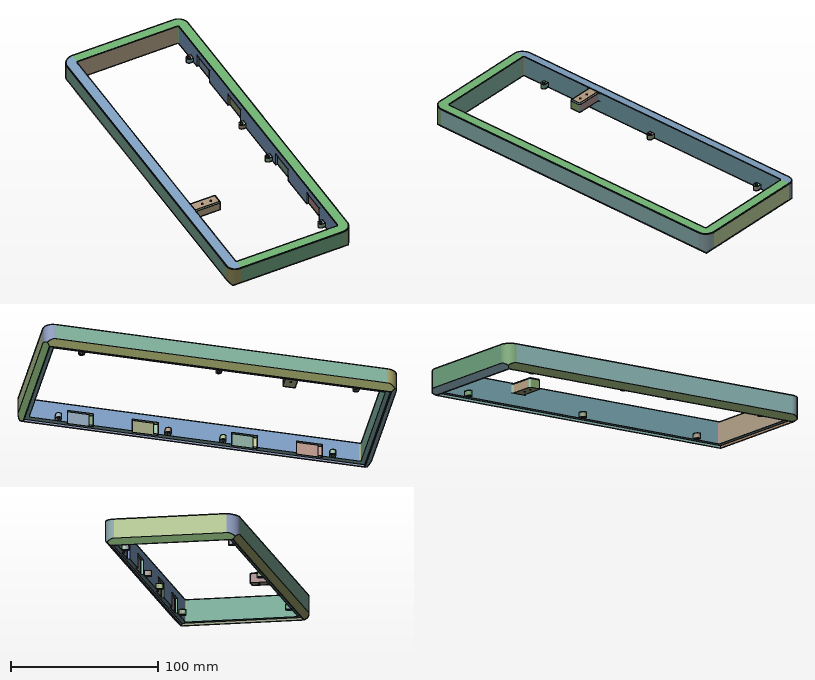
import cadquery as cq
import math

KEY_PITCH = 19.05

HEIGHT = 17.5
WALL = 7.6
OPENING_CLEARANCE = 1.8
OPENING_LENGTH = 12 * KEY_PITCH + OPENING_CLEARANCE
OPENING_WIDTH = 4 * KEY_PITCH + OPENING_CLEARANCE
LENGTH = OPENING_LENGTH + 2 * WALL
WIDTH = OPENING_WIDTH + 2 * WALL
CORNER_RADIUS = WALL
OPENING_CORNER_RADIUS = 1.0
TOP_EDGE_CHAMFER = 0.4
OPENING_RIM_CHAMFER = 0.25
REBATE_DEPTH = 1.8
REBATE_WIDTH = 3.2
BOTTOM_CHAMFER = 4.0
FRONT_DROP = 1.0

POST_DIAMETER = 4.0
POST_HOLE_DIAMETER = 1.8
POST_BOTTOM = 2.0
POST_HEIGHT = 3.5
POST_INSET = 2.4
BACK_POST_COLUMNS = (-5, -1, 1, 5)
FRONT_POST_COLUMNS = (-5, 0, 5)

POCKET_CENTRES = (-79.5, -34.5, 34.5, 79.5)
POCKET_LENGTH = 18.0
POCKET_DEPTH = 1.5
POCKET_TOP = 11.9
GROOVE_DIAMETER = 3.0
GROOVE_AXIS_SETBACK = 0.4
GROOVE_BOTTOM = 3.2

TAB_CENTRE_X = 52.5
TAB_WIDTH = 8.6
TAB_LENGTH = 19.4
TAB_TOP = HEIGHT
TAB_THICKNESS = 7.0
TAB_EDGE_CHAMFER = 0.8
TAB_CORNER_RADIUS = 1.0
TAB_ROOT_RADIUS = 1.5
TAB_HOLE_DIAMETER = 1.0
TAB_HOLE_OFFSETS = (7.2, 13.8)

OPENING_BACK = OPENING_WIDTH / 2
OPENING_FRONT = -OPENING_WIDTH / 2


def block(x_range, y_range, z_range):
    """Axis-aligned box between the given limits."""
    size = [high - low for low, high in (x_range, y_range, z_range)]
    corner = (x_range[0], y_range[0], z_range[0])
    return cq.Workplane("XY").box(*size, centered=False).translate(corner)


def plate(length, width, height):
    """Rectangular plate centred on the Z axis and standing on Z = 0."""
    return cq.Workplane("XY").box(length, width, height, centered=(True, True, False))


def rounded_plate(length, width, height, radius):
    """Plate with rounded vertical edges."""
    return plate(length, width, height).edges("|Z").fillet(radius)


def make_body():
    """Solid outer shape: sloped front top, chamfered outer rims, rounded corners."""
    level_body = (
        rounded_plate(LENGTH, WIDTH, HEIGHT, CORNER_RADIUS)
        .faces(">Z")
        .chamfer(TOP_EDGE_CHAMFER)
    )

    front_top = HEIGHT - FRONT_DROP
    back_top = front_top + FRONT_DROP / WALL * WIDTH
    sloped_profile = (
        cq.Workplane("YZ")
        .moveTo(-WIDTH / 2, 0)
        .lineTo(WIDTH / 2, 0)
        .lineTo(WIDTH / 2, back_top)
        .lineTo(-WIDTH / 2, front_top)
        .close()
        .extrude(LENGTH / 2, both=True)
    )
    sloped_body = (
        sloped_profile.edges("|Z")
        .fillet(CORNER_RADIUS)
        .faces(">Z")
        .chamfer(TOP_EDGE_CHAMFER)
    )

    bottom_chamfered_block = plate(LENGTH, WIDTH, HEIGHT).faces("<Z").chamfer(BOTTOM_CHAMFER)
    return level_body.intersect(sloped_body).intersect(bottom_chamfered_block)


def make_opening():
    """Through opening with a flared top rim and a wider shallow seat underneath."""
    opening = rounded_plate(OPENING_LENGTH, OPENING_WIDTH, HEIGHT, OPENING_CORNER_RADIUS)
    rim = (
        rounded_plate(
            OPENING_LENGTH + 2 * OPENING_RIM_CHAMFER,
            OPENING_WIDTH + 2 * OPENING_RIM_CHAMFER,
            HEIGHT,
            OPENING_CORNER_RADIUS + OPENING_RIM_CHAMFER,
        )
        .faces("<Z")
        .chamfer(OPENING_RIM_CHAMFER)
        .translate((0, 0, HEIGHT - OPENING_RIM_CHAMFER))
    )
    rebate = plate(OPENING_LENGTH + 2 * REBATE_WIDTH, OPENING_WIDTH + 2 * REBATE_WIDTH, REBATE_DEPTH)
    return opening.union(rim).union(rebate)


def post_location(column, side):
    """Post axis on the key grid; side is +1 for the back rail, -1 for the front rail."""
    return column * KEY_PITCH, side * (OPENING_BACK - POST_INSET)


def make_post(column, side):
    """Round post joined to the opening wall by a straight web."""
    x, y = post_location(column, side)
    wall_y = side * OPENING_BACK
    radius = POST_DIAMETER / 2
    top = POST_BOTTOM + POST_HEIGHT
    web = block((x - radius, x + radius), sorted((y, wall_y)), (POST_BOTTOM, top))
    barrel = cq.Workplane("XY", origin=(x, y, POST_BOTTOM)).circle(radius).extrude(POST_HEIGHT)
    return barrel.union(web)


def make_post_hole(column, side):
    """Through hole along a post's axis."""
    x, y = post_location(column, side)
    return (
        cq.Workplane("XY", origin=(x, y, POST_BOTTOM))
        .circle(POST_HOLE_DIAMETER / 2)
        .extrude(POST_HEIGHT)
    )


def make_pocket(centre_x):
    """Shallow pocket open at the bottom, with a round vertical groove at its +X end."""
    floor_y = OPENING_BACK + POCKET_DEPTH
    end_x = centre_x + POCKET_LENGTH / 2
    recess = block((end_x - POCKET_LENGTH, end_x), (OPENING_BACK, floor_y), (0, POCKET_TOP))
    groove_x = end_x - GROOVE_DIAMETER / 2
    groove_y = floor_y - GROOVE_AXIS_SETBACK
    groove = (
        cq.Workplane("XY", origin=(groove_x, groove_y, GROOVE_BOTTOM))
        .circle(GROOVE_DIAMETER / 2)
        .extrude(POCKET_TOP - GROOVE_BOTTOM)
    )
    return recess.union(groove)


def make_tab():
    """Drilled tab reaching inward from the front rail, with flared root corners."""
    half = TAB_WIDTH / 2
    flare = half + TAB_ROOT_RADIUS
    bend = TAB_ROOT_RADIUS * (1 - math.sqrt(0.5))
    bottom = TAB_TOP - TAB_THICKNESS
    origin = (TAB_CENTRE_X, OPENING_FRONT, bottom)
    bar = (
        cq.Workplane("XY", origin=origin)
        .rect(TAB_WIDTH, 2 * TAB_LENGTH)
        .extrude(TAB_THICKNESS)
        .edges("|Z")
        .fillet(TAB_CORNER_RADIUS)
        .faces(">Z")
        .chamfer(TAB_EDGE_CHAMFER)
        .intersect(
            block(
                (TAB_CENTRE_X - half, TAB_CENTRE_X + half),
                (OPENING_FRONT, OPENING_FRONT + TAB_LENGTH),
                (bottom, TAB_TOP),
            )
        )
    )
    root = (
        cq.Workplane("XY", origin=origin)
        .moveTo(-flare, 0)
        .lineTo(flare, 0)
        .threePointArc((half + bend, bend), (half, TAB_ROOT_RADIUS))
        .lineTo(-half, TAB_ROOT_RADIUS)
        .threePointArc((-half - bend, bend), (-flare, 0))
        .close()
        .extrude(TAB_THICKNESS - TAB_EDGE_CHAMFER)
    )
    holes = (
        cq.Workplane("XY", origin=origin)
        .pushPoints([(0, offset) for offset in TAB_HOLE_OFFSETS])
        .circle(TAB_HOLE_DIAMETER / 2)
        .extrude(TAB_THICKNESS)
    )
    return bar.union(root).cut(holes)


posts = [(column, 1) for column in BACK_POST_COLUMNS]
posts += [(column, -1) for column in FRONT_POST_COLUMNS]

result = make_body().cut(make_opening())
for centre_x in POCKET_CENTRES:
    result = result.cut(make_pocket(centre_x))
for column, side in posts:
    result = result.union(make_post(column, side)).cut(make_post_hole(column, side))
result = result.union(make_tab())